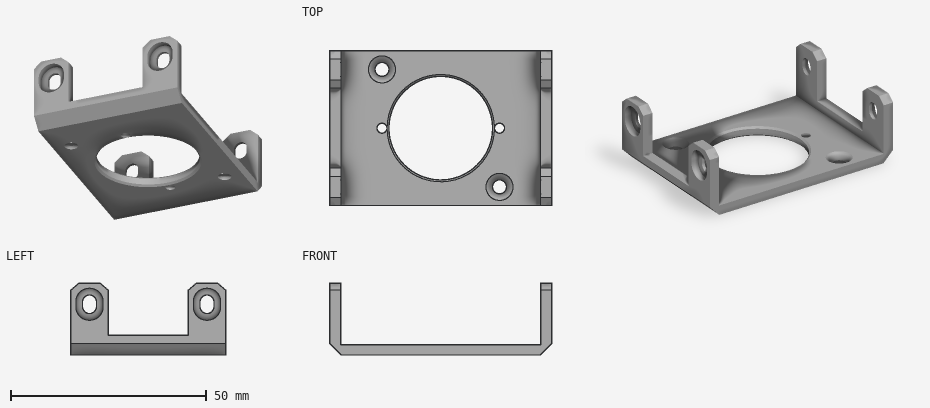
import cadquery as cq

length = 56.8
width = 39.6
height = 18.4

wall_thickness = 2.9
floor_thickness = 2.7
bend_chamfer = 3.0

hole_pitch = 30.0
tab_width = width - hole_pitch
low_wall_height = 5.1
tab_chamfer_y = 2.1
tab_chamfer_z = 1.8

slot_height_center = 13.0
slot_travel = 1.2
slot_diameter = 3.5
slot_recess_diameter = 7.0
slot_recess_depth = 2.0

center_hole_diameter = 26.4
center_hole_chamfer = 0.5
pin_hole_diameter = 2.5
screw_hole_diameter = 3.5
screw_head_diameter = 6.9
countersink_angle = 90.0


def make_channel():
    """U-shaped channel along Y with its two lower outside edges chamfered."""
    body = cq.Workplane("XY").box(length, width, height, centered=(True, True, False))
    body = body.faces("<Z").edges("|Y").chamfer(bend_chamfer)
    cavity = (
        cq.Workplane("XY")
        .workplane(offset=floor_thickness)
        .box(length - 2 * wall_thickness, width, height, centered=(True, True, False))
    )
    return body.cut(cavity)


def make_wall_gap():
    """Block that lowers both side walls between the tabs."""
    return (
        cq.Workplane("XY")
        .workplane(offset=low_wall_height)
        .box(length, width - 2 * tab_width, height, centered=(True, True, False))
    )


def make_tab_corner(y_corner, inward):
    """Triangular prism along X that bevels one upper tab corner; inward is +1 or -1."""
    return (
        cq.Workplane("YZ")
        .moveTo(y_corner, height)
        .lineTo(y_corner + inward * tab_chamfer_y, height)
        .lineTo(y_corner, height - tab_chamfer_z)
        .close()
        .extrude(length / 2, both=True)
    )


def make_slot(y_center, diameter, x_start, x_length):
    """Vertical slot cutter that runs along X from x_start."""
    return (
        cq.Workplane("YZ")
        .workplane(offset=x_start)
        .center(y_center, slot_height_center)
        .slot2D(diameter + slot_travel, diameter, 90)
        .extrude(x_length)
    )


def cut_tab_features(body):
    """Bevel the tabs and cut a slot, recessed on the outer faces, through each one."""
    for side in (-1, 1):
        y_center = side * hole_pitch / 2
        for inward in (-1, 1):
            body = body.cut(make_tab_corner(y_center - inward * tab_width / 2, inward))
        body = body.cut(make_slot(y_center, slot_diameter, -length / 2, length))
        for x_start in (-length / 2, length / 2 - slot_recess_depth):
            body = body.cut(make_slot(y_center, slot_recess_diameter, x_start, slot_recess_depth))
    return body


def cut_floor_holes(body):
    """Center hole chamfered on both faces, two pin holes beside it and two countersunk screw holes."""
    offset = hole_pitch / 2
    floor = cq.Workplane("XY").workplane(offset=floor_thickness)
    center_hole = floor.circle(center_hole_diameter / 2).extrude(-floor_thickness)
    rim_radius = center_hole_diameter / 2 + center_hole_chamfer
    for rim_height, inward in ((0, 1), (floor_thickness, -1)):
        rim_bevel = cq.Solid.makeCone(
            rim_radius,
            center_hole_diameter / 2,
            center_hole_chamfer,
            pnt=cq.Vector(0, 0, rim_height),
            dir=cq.Vector(0, 0, inward),
        )
        body = body.cut(cq.Workplane(rim_bevel))
    pin_holes = (
        floor.pushPoints([(-offset, 0), (offset, 0)])
        .circle(pin_hole_diameter / 2)
        .extrude(-floor_thickness)
    )
    body = body.cut(center_hole).cut(pin_holes)
    return (
        body.copyWorkplane(floor)
        .pushPoints([(-offset, offset), (offset, -offset)])
        .cskHole(screw_hole_diameter, screw_head_diameter, countersink_angle)
    )


bracket = make_channel().cut(make_wall_gap())
bracket = cut_tab_features(bracket)
result = cut_floor_holes(bracket)